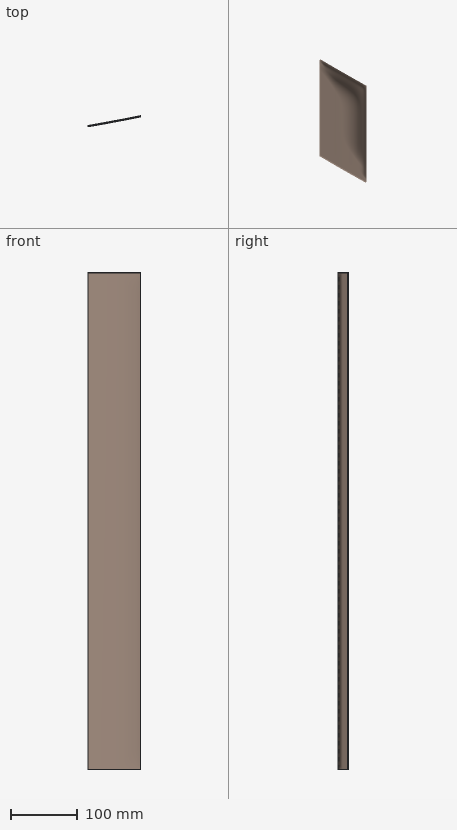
import cadquery as cq
import math

size_x = 79.0
length = 742.0

thickness = 1.8
tilt = 10.6
sag = 0.3

tilt_angle = math.radians(tilt)
width = (size_x - thickness * math.sin(tilt_angle)) / math.cos(tilt_angle)

half_width = width / 2
half_thickness = thickness / 2

section = (
    cq.Workplane("XY")
    .moveTo(-half_width, -half_thickness)
    .threePointArc((0, -half_thickness - sag), (half_width, -half_thickness))
    .lineTo(half_width, half_thickness)
    .threePointArc((0, half_thickness - sag), (-half_width, half_thickness))
    .close()
)

strip = section.extrude(length / 2, both=True)
result = strip.rotate((0, 0, 0), (0, 0, 1), tilt)